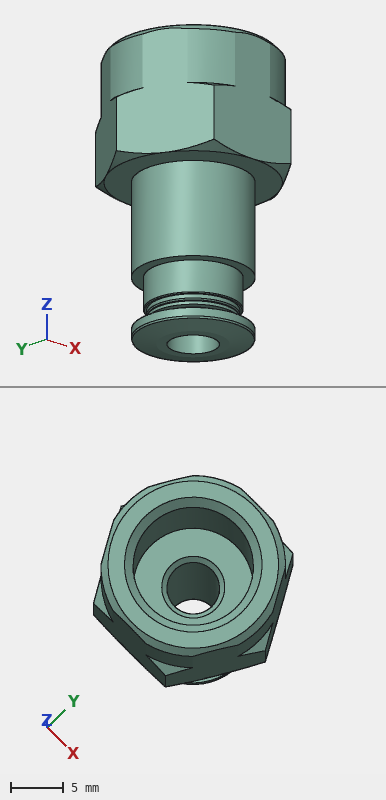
import cadquery as cq
import math

TOTAL_HEIGHT = 29.5
HEX_BOTTOM = 16.5
CROWN_BOTTOM = 23.35
BARREL_BOTTOM = 6.8
COLLAR_BOTTOM = 3.45
RING_BOTTOM = 2.4
FLANGE_TOP = 1.5
FLANGE_RIM_BOTTOM = 0.65

HEX_ACROSS_FLATS = 17.0
HEX_CORNER_RADIUS = HEX_ACROSS_FLATS / math.sqrt(3)
HEX_CHAMFER_ANGLE = 30.0
CROWN_RADIUS = 17.58 / 2
CROWN_CHAMFER = 0.67

BARREL_RADIUS = 11.8 / 2
COLLAR_RADIUS = 9.5 / 2
COLLAR_CHAMFER = 0.1
RING_RADIUS = 8.9 / 2
GROOVE_CENTER = 2.88
GROOVE_HALF_WIDTH = 0.15
GROOVE_DEPTH = 0.1
NECK_RADIUS = 7.4 / 2
NECK_FLARE = 0.3
FLANGE_RADIUS = 11.8 / 2
FLANGE_EDGE_INSET = 0.07
FLANGE_EDGE_HEIGHT = 0.2
FLANGE_FACE_RADIUS = 7.0 / 2

THREAD_BORE_RADIUS = 11.45 / 2
THREAD_BORE_DEPTH = 11.0
THREAD_MOUTH_RADIUS = 13.1 / 2
PASSAGE_RADIUS = 5.0 / 2
PASSAGE_MOUTH_RADIUS = 6.0 / 2


def revolve_profile(points):
    """Turn a closed (radius, height) outline about the Z axis."""
    return cq.Workplane("XZ").polyline(points).close().revolve(360, (0, 0), (0, 1))


def hex_head():
    """Hexagon with 30 degree corner chamfers and a round crown above them."""
    slope = math.tan(math.radians(HEX_CHAMFER_ANGLE))
    flat_radius = HEX_ACROSS_FLATS / 2
    bottom_rise = (HEX_CORNER_RADIUS - flat_radius) * slope
    shoulder_drop = (HEX_CORNER_RADIUS - CROWN_RADIUS) * slope
    prism = (
        cq.Workplane("XY")
        .workplane(offset=HEX_BOTTOM)
        .polygon(6, 2 * HEX_CORNER_RADIUS)
        .extrude(TOTAL_HEIGHT - HEX_BOTTOM)
    )
    turned_envelope = revolve_profile([
        (0, HEX_BOTTOM),
        (flat_radius, HEX_BOTTOM),
        (HEX_CORNER_RADIUS, HEX_BOTTOM + bottom_rise),
        (HEX_CORNER_RADIUS, CROWN_BOTTOM - shoulder_drop),
        (CROWN_RADIUS, CROWN_BOTTOM),
        (CROWN_RADIUS, TOTAL_HEIGHT - CROWN_CHAMFER),
        (CROWN_RADIUS - CROWN_CHAMFER, TOTAL_HEIGHT),
        (0, TOTAL_HEIGHT),
    ])
    return prism.intersect(turned_envelope)


def lower_body():
    """Barrel, collar, grooved ring, neck and release flange as one turned piece."""
    return revolve_profile([
        (0, 0),
        (FLANGE_FACE_RADIUS, 0),
        (FLANGE_RADIUS - FLANGE_EDGE_INSET, FLANGE_RIM_BOTTOM - FLANGE_EDGE_HEIGHT),
        (FLANGE_RADIUS, FLANGE_RIM_BOTTOM),
        (FLANGE_RADIUS, FLANGE_TOP),
        (NECK_RADIUS + NECK_FLARE, FLANGE_TOP),
        (NECK_RADIUS, FLANGE_TOP + NECK_FLARE),
        (NECK_RADIUS, RING_BOTTOM),
        (RING_RADIUS, RING_BOTTOM),
        (RING_RADIUS, GROOVE_CENTER - GROOVE_HALF_WIDTH),
        (RING_RADIUS - GROOVE_DEPTH, GROOVE_CENTER),
        (RING_RADIUS, GROOVE_CENTER + GROOVE_HALF_WIDTH),
        (RING_RADIUS, COLLAR_BOTTOM),
        (COLLAR_RADIUS - COLLAR_CHAMFER, COLLAR_BOTTOM),
        (COLLAR_RADIUS, COLLAR_BOTTOM + COLLAR_CHAMFER),
        (COLLAR_RADIUS, BARREL_BOTTOM),
        (BARREL_RADIUS, BARREL_BOTTOM),
        (BARREL_RADIUS, HEX_BOTTOM),
        (0, HEX_BOTTOM),
    ])


def bores():
    """Chamfered thread bore from the top and the passage through its floor."""
    floor = TOTAL_HEIGHT - THREAD_BORE_DEPTH
    thread_chamfer = THREAD_MOUTH_RADIUS - THREAD_BORE_RADIUS
    passage_chamfer = PASSAGE_MOUTH_RADIUS - PASSAGE_RADIUS
    return revolve_profile([
        (0, 0),
        (PASSAGE_RADIUS, 0),
        (PASSAGE_RADIUS, floor - passage_chamfer),
        (PASSAGE_MOUTH_RADIUS, floor),
        (THREAD_BORE_RADIUS, floor),
        (THREAD_BORE_RADIUS, TOTAL_HEIGHT - thread_chamfer),
        (THREAD_MOUTH_RADIUS, TOTAL_HEIGHT),
        (0, TOTAL_HEIGHT),
    ])


result = hex_head().union(lower_body()).cut(bores())